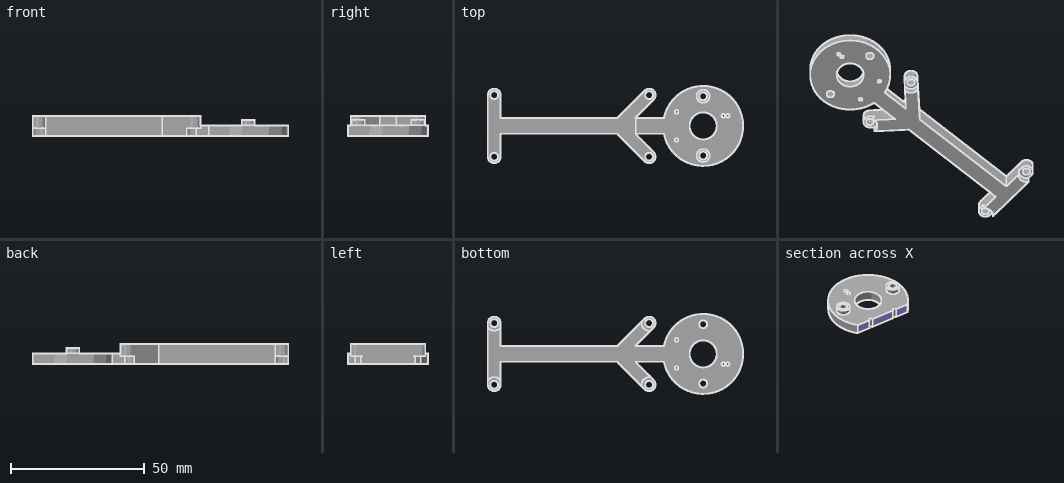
import cadquery as cq
import math

total_length = 95.65
disc_diameter = 30.0
frame_height = 7.6
disc_height = 4.0
boss_height = 6.0

shaft_width = 6.0
arm_width = 4.9
mount_spacing_x = 58.0
mount_spacing_y = 23.05
mount_hole_diameter = 2.9
clearance_diameter = 5.6
clearance_depth = 3.0

bore_diameter = 10.0
boss_diameter = 4.9
boss_hole_diameter = 2.9
boss_offset = 11.1
pin_hole_diameter = 1.2
pin_hole_points = [(-9.9, 5.3), (-9.9, -5.3), (7.6, 3.8), (9.2, 3.8)]

left_end = disc_diameter / 2 - total_length
left_mount_x = left_end + arm_width / 2
right_mount_x = left_mount_x + mount_spacing_x
mount_y = mount_spacing_y / 2
mount_points = [(x, y) for x in (left_mount_x, right_mount_x) for y in (-mount_y, mount_y)]
boss_points = [(0, -boss_offset), (0, boss_offset)]
fork_x = right_mount_x - mount_y
shaft_end = fork_x + shaft_width / 2 + arm_width / math.sqrt(2)


def rounded_bar(start, end):
    """Full-height bar with round ends centered on two points."""
    dx = end[0] - start[0]
    dy = end[1] - start[1]
    middle = ((start[0] + end[0]) / 2, (start[1] + end[1]) / 2)
    return (
        cq.Workplane("XY")
        .center(*middle)
        .slot2D(math.hypot(dx, dy) + arm_width, arm_width, math.degrees(math.atan2(dy, dx)))
        .extrude(frame_height)
    )


def beam(start_x, end_x, height):
    """Rectangular length of the central shaft."""
    return (
        cq.Workplane("XY")
        .center((start_x + end_x) / 2, 0)
        .rect(end_x - start_x, shaft_width)
        .extrude(height)
    )


def cylinders(points, diameter, height):
    """Equal upright cylinders standing on the bottom plane."""
    return cq.Workplane("XY").pushPoints(points).circle(diameter / 2).extrude(height)


frame = rounded_bar((left_mount_x, -mount_y), (left_mount_x, mount_y))
frame = frame.union(beam(left_mount_x, shaft_end, frame_height))
for side in (-1, 1):
    frame = frame.union(rounded_bar((fork_x, 0), (right_mount_x, side * mount_y)))

frame = frame.cut(cylinders(mount_points, mount_hole_diameter, frame_height))
frame = frame.cut(cylinders(mount_points, clearance_diameter, clearance_depth))

disc = cylinders([(0, 0)], disc_diameter, disc_height)
disc = disc.union(beam(fork_x, 0, disc_height))
disc = disc.union(cylinders(boss_points, boss_diameter, boss_height))

disc = disc.cut(cylinders([(0, 0)], bore_diameter, disc_height))
disc = disc.cut(cylinders(boss_points, boss_hole_diameter, boss_height))
disc = disc.cut(cylinders(pin_hole_points, pin_hole_diameter, disc_height))

result = frame.union(disc)